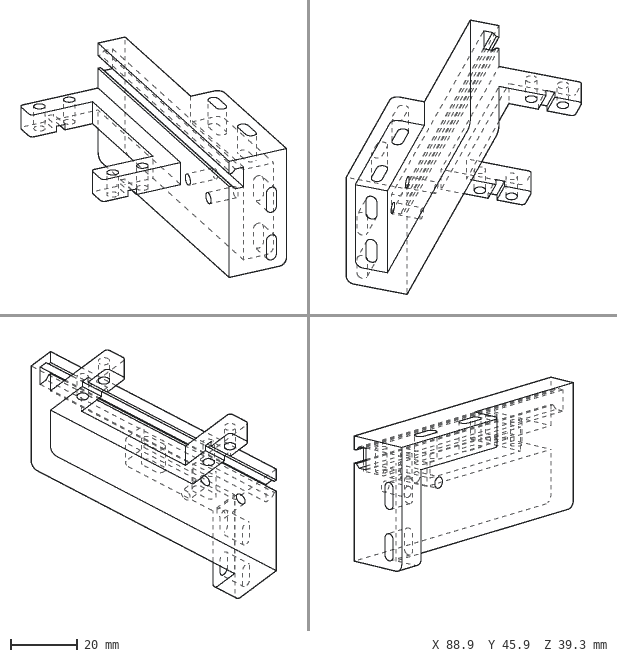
import cadquery as cq

length = 88.9
height = 39.3
bar_depth = 9.2
corner_radius = 2.5

flange_reach = 10.2
flange_thickness = 8.8
top_flange_length = 44.45
slot_length = 8.45
slot_width = 3.4
slot_inset = 5.2
first_slot_offset_top = 7.9
slot_spacing_top = 20.0
first_slot_offset_end = 7.4
slot_spacing_end = 16.1

channel_depth = 4.9
channel_height = 6.7
mouth_height = 4.3
lip_depth = 0.9
channel_drop = 6.4

fork_width = 56.0
fork_reach = 26.5
fork_height = 7.5
fork_drop = 15.2
arm_width = 7.6
crossbar_depth = 5.6
arm_tip_radius = 1.25
arm_hole_inset = 3.2
arm_hole_distances = (11.3, 21.3)
notch_distance = 14.9
notch_width = 2.8
notch_height = 1.9

hole_diameter = 3.5
bar_hole_positions = (60.9, 74.85)
bar_hole_drop = 18.8

back = bar_depth + flange_reach
fork_top = height - fork_drop
fork_bottom = fork_top - fork_height


def box(x_size, y_size, z_size, corner):
    return cq.Workplane("XY").box(x_size, y_size, z_size, centered=False).translate(corner)


def make_bar():
    bar = box(length, bar_depth, height, (0, 0, 0))
    return bar.edges("|Y and <X and <Z").fillet(corner_radius)


def make_top_flange():
    start = length - top_flange_length
    flange = box(top_flange_length, back, flange_thickness, (start, 0, height - flange_thickness))
    flange = flange.edges("|Z and <X and >Y").fillet(corner_radius)
    first = start + first_slot_offset_top
    centres = [(first, back - slot_inset), (first + slot_spacing_top, back - slot_inset)]
    slots = cq.Workplane("XY").pushPoints(centres).slot2D(slot_length, slot_width).extrude(height)
    return flange.cut(slots)


def make_end_flange():
    flange = box(flange_thickness, back, height, (length - flange_thickness, 0, 0))
    flange = flange.edges("|X and >Y and <Z").fillet(corner_radius)
    first = height - flange_thickness - first_slot_offset_end
    centres = [(back - slot_inset, first), (back - slot_inset, first - slot_spacing_end)]
    slots = cq.Workplane("YZ").pushPoints(centres).slot2D(slot_length, slot_width, 90).extrude(length)
    return flange.cut(slots)


def make_channel():
    bevel = (channel_height - mouth_height) / 2
    half_mouth = mouth_height / 2
    half_height = channel_height / 2
    shoulder = lip_depth + bevel
    profile = [
        (0, -half_mouth),
        (lip_depth, -half_mouth),
        (shoulder, -half_height),
        (channel_depth, -half_height),
        (channel_depth, half_height),
        (shoulder, half_height),
        (lip_depth, half_mouth),
        (0, half_mouth),
    ]
    channel = cq.Workplane("YZ").polyline(profile).close().extrude(length)
    return channel.translate((0, 0, height - channel_drop))


def make_fork():
    fork = box(fork_width, fork_reach, fork_height, (0, -fork_reach, fork_bottom))
    opening_width = fork_width - 2 * arm_width
    opening_depth = fork_reach - crossbar_depth
    fork = fork.cut(box(opening_width, opening_depth, fork_height, (arm_width, -fork_reach, fork_bottom)))
    fork = fork.faces("<Y").edges("|Z").fillet(arm_tip_radius)

    centres = [
        (x, -distance)
        for x in (arm_hole_inset, fork_width - arm_hole_inset)
        for distance in arm_hole_distances
    ]
    holes = cq.Workplane("XY").pushPoints(centres).circle(hole_diameter / 2).extrude(height)
    notch_start = -notch_distance - notch_width
    notch = box(fork_width, notch_width, notch_height, (0, notch_start, fork_bottom))
    return fork.cut(holes).cut(notch)


def make_bar_holes():
    centres = [(x, height - bar_hole_drop) for x in bar_hole_positions]
    return cq.Workplane("XZ").pushPoints(centres).circle(hole_diameter / 2).extrude(-bar_depth)


bracket = make_bar().union(make_top_flange()).union(make_end_flange())
result = bracket.cut(make_channel()).cut(make_bar_holes()).union(make_fork())